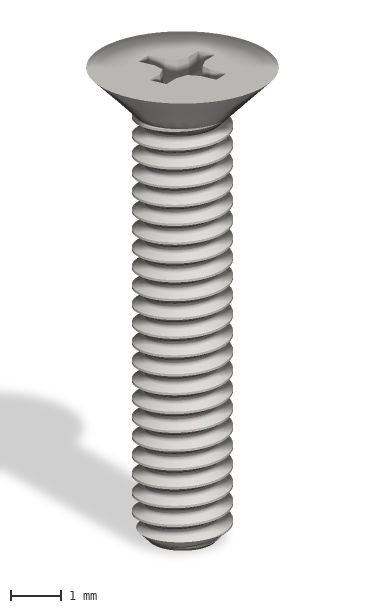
import cadquery as cq
import math

length = 10.0
head_radius = 1.9
head_angle = 90.0
tip_chamfer = 0.32

major_radius = 1.0
pitch = 0.4
flank_angle = 60.0
thread_depth = 0.245
crest_width = pitch / 8
crest_depth = 0.87
minor_radius = major_radius - thread_depth

spare_turns = 2
cutter_clearance = 0.5

recess_depth = 0.4
arm_count = 4
recess_half_span = 0.905
flare_start = 0.53
flare_angle = 22.0
mouth_arm_half_width = 0.192
floor_arm_half_width = 0.17

head_slope = math.tan(math.radians(head_angle / 2))
flank_slope = math.tan(math.radians(flank_angle / 2))


def revolve_about_z(points):
    """Solid of revolution from an outline of (radius, height) points, with its seam on the -Y side."""
    outline = cq.Workplane("YZ").polyline([(-radius, height) for radius, height in points]).close()
    return outline.revolve(360, (0, 0, 0), (0, 1, 0))


def make_head():
    """Countersunk cone, running down until it meets the root of the thread."""
    cone_height = (head_radius - minor_radius) / head_slope
    return revolve_about_z([(0, 0), (head_radius, 0), (minor_radius, -cone_height), (0, -cone_height)])


def make_turn_helix(radius, start_height):
    """One turn of a right-handed helix that starts on the +X side."""
    helix = cq.Wire.makeHelix(pitch, pitch, radius, center=cq.Vector(0, 0, start_height))
    return helix.Edges()[0]


def make_threaded_rod():
    """Threaded rod, sewn from one turn of thread faces repeated along the axis and two helical ends."""
    crest_half = crest_width / 2
    ridge_half = crest_half + thread_depth * flank_slope

    profile = [
        (major_radius, -crest_half),
        (major_radius, crest_half),
        (minor_radius, ridge_half),
        (minor_radius, pitch - ridge_half),
        (major_radius, pitch - crest_half),
    ]
    turns = math.ceil((length - crest_depth) / pitch) + spare_turns
    lowest_crest = -crest_depth - (turns - 1) * pitch

    faces = []
    for turn in range(turns):
        crest_height = lowest_crest + turn * pitch
        helices = [make_turn_helix(radius, crest_height + offset) for radius, offset in profile]
        for lower, upper in zip(helices, helices[1:]):
            faces.append(cq.Face.makeRuledSurface(lower, upper))

    for end_crest in (lowest_crest, lowest_crest + turns * pitch):
        start = end_crest - crest_half
        axis_low = cq.Vector(0, 0, start)
        axis_high = cq.Vector(0, 0, start + pitch)
        axis_edge = cq.Edge.makeLine(axis_low, axis_high)
        faces.append(cq.Face.makeRuledSurface(axis_edge, make_turn_helix(major_radius, start)))
        step = [cq.Vector(radius, 0, end_crest + offset) for radius, offset in profile]
        outline = cq.Wire.makePolygon([axis_low, *step, axis_high], close=True)
        faces.append(cq.Face.makeFromWires(outline))

    return cq.Workplane(cq.Solid.makeSolid(cq.Shell.makeShell(faces)))


def make_tip_cutter():
    """Space outside the chamfered tip: everything below it and the ring around its chamfer."""
    tip_radius = major_radius - tip_chamfer
    outer_radius = major_radius + cutter_clearance
    floor = -length - (spare_turns + 1) * pitch
    return revolve_about_z([
        (0, -length),
        (tip_radius, -length),
        (outer_radius, -length + outer_radius - tip_radius),
        (outer_radius, floor),
        (0, floor),
    ])


def make_cross_wire(arm_half_width, height):
    """Cross outline whose arm sides flare out straight to a blunt inner corner between each two arms."""
    flare_slope = math.tan(math.radians(flare_angle))
    corner_offset = (arm_half_width + flare_start * flare_slope) / (1 + flare_slope)
    arm = [
        (corner_offset, -corner_offset),
        (flare_start, -arm_half_width),
        (recess_half_span, -arm_half_width),
        (recess_half_span, arm_half_width),
        (flare_start, arm_half_width),
    ]
    points = []
    for _ in range(arm_count):
        points += [cq.Vector(x, y, height) for x, y in arm]
        arm = [(-y, x) for x, y in arm]
    return cq.Wire.makePolygon(points, close=True)


def make_recess():
    """Tapered cross-shaped pocket with a flat floor, sunk from the head face."""
    floor = make_cross_wire(floor_arm_half_width, -recess_depth)
    mouth = make_cross_wire(mouth_arm_half_width, 0)
    return cq.Workplane(cq.Solid.makeLoft([floor, mouth], True))


shank = make_threaded_rod().cut(make_tip_cutter())
result = make_head().union(shank).cut(make_recess())